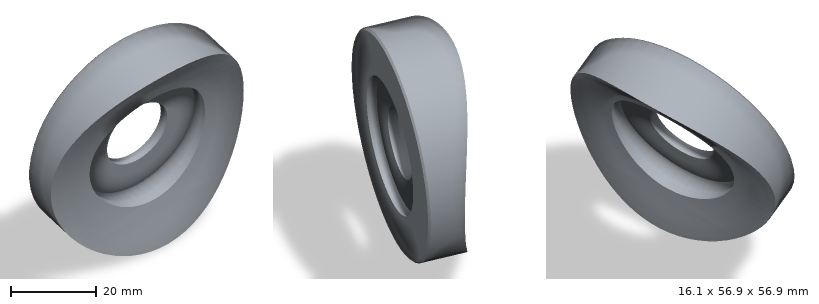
import cadquery as cq

disc_diameter = 56.9
rim_length = 16.05
edge_chamfer = 0.5

center_thickness = 8.95
saddle_depth = rim_length - center_thickness
saddle_radius = ((disc_diameter / 2) ** 2 + saddle_depth**2) / (2 * saddle_depth)

hole_diameter = 17.75
recess_diameter = 34.0
recess_depth = 2.5
web_thickness = 2.5


def make_disc():
    """Round blank with a chamfer around its flat face."""
    blank = cq.Workplane("YZ").circle(disc_diameter / 2).extrude(rim_length)
    return blank.faces("<X").edges().chamfer(edge_chamfer)


def make_saddle():
    """Cylinder along Y that hollows the +X side."""
    return (
        cq.Workplane("XZ")
        .center(center_thickness + saddle_radius, 0)
        .circle(saddle_radius)
        .extrude(disc_diameter / 2, both=True)
    )


def make_bore_cylinder(diameter, start):
    """Cylinder along X from the given distance behind the flat face to beyond the saddle."""
    return cq.Workplane("YZ").workplane(offset=start).circle(diameter / 2).extrude(rim_length)


def make_stepped_bore():
    """Through hole, front recess and saddle-side recess, leaving the web between them."""
    hole = make_bore_cylinder(hole_diameter, 0)
    front_recess = cq.Workplane("YZ").circle(recess_diameter / 2).extrude(recess_depth)
    back_recess = make_bore_cylinder(recess_diameter, recess_depth + web_thickness)
    return hole.union(front_recess).union(back_recess)


result = make_disc().cut(make_saddle()).cut(make_stepped_bore())